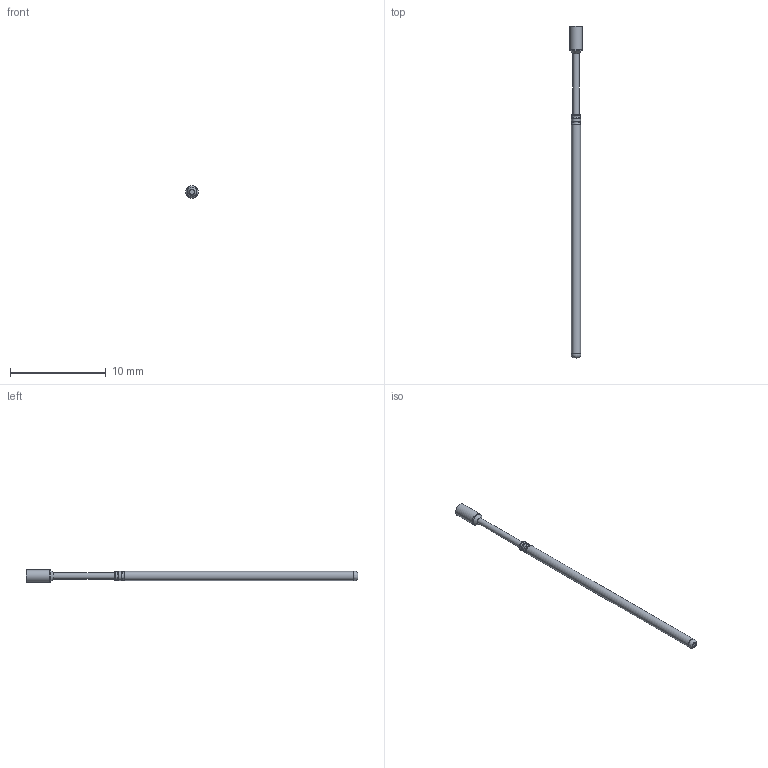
import cadquery as cq

total_length = 34.6
tail_y = -total_length / 2
head_y = total_length / 2

head_diameter = 1.3
head_length = 2.5
bevel_length = 0.1
bevel_depth = 0.015
cone_length = 0.28

stem_diameter = 0.635

barrel_diameter = 0.95
barrel_length = 25.4
barrel_mouth_y = tail_y + barrel_length

tail_length = 0.45
tail_bulge_diameter = 0.86
tail_bulge_offset = 0.14
dimple_diameter = 0.54
dimple_depth = 0.1

groove_width = 0.36
groove_depth = 0.05
groove_pitch = 0.6
groove_count = 2
first_groove_offset = 0.3


def revolve_about_y(profile):
    """Solid of revolution from a (radius, y) profile, which is closed here."""
    return profile.close().revolve(360, (0, 0, 0), (0, 1, 0))


def make_plunger():
    head_radius = head_diameter / 2
    stem_radius = stem_diameter / 2
    bevel_start_y = head_y - head_length
    cone_start_y = bevel_start_y - bevel_length
    cone_start_radius = head_radius - bevel_depth
    cone_end_y = cone_start_y - cone_length

    profile = (
        cq.Workplane("ZY")
        .moveTo(0, barrel_mouth_y)
        .lineTo(stem_radius, barrel_mouth_y)
        .lineTo(stem_radius, cone_end_y)
        .lineTo(cone_start_radius, cone_start_y)
        .lineTo(head_radius, bevel_start_y)
        .lineTo(head_radius, head_y)
        .lineTo(0, head_y)
    )
    return revolve_about_y(profile)


def make_barrel():
    barrel_radius = barrel_diameter / 2
    dimple_radius = dimple_diameter / 2
    dimple_floor_y = tail_y + dimple_depth
    profile = (
        cq.Workplane("ZY")
        .moveTo(0, dimple_floor_y)
        .lineTo(dimple_radius, dimple_floor_y)
        .lineTo(dimple_radius, tail_y)
        .threePointArc(
            (tail_bulge_diameter / 2, tail_y + tail_bulge_offset),
            (barrel_radius, tail_y + tail_length),
        )
        .lineTo(barrel_radius, barrel_mouth_y)
        .lineTo(0, barrel_mouth_y)
    )
    return revolve_about_y(profile)


def make_groove(center_y):
    """Ring-shaped cutter with a V section, centred at the given Y."""
    barrel_radius = barrel_diameter / 2
    half_width = groove_width / 2
    profile = (
        cq.Workplane("ZY")
        .moveTo(barrel_radius, center_y - half_width)
        .lineTo(barrel_radius - groove_depth, center_y)
        .lineTo(barrel_radius, center_y + half_width)
    )
    return revolve_about_y(profile)


result = make_barrel().union(make_plunger())
for index in range(groove_count):
    groove_y = barrel_mouth_y - first_groove_offset - index * groove_pitch
    result = result.cut(make_groove(groove_y))